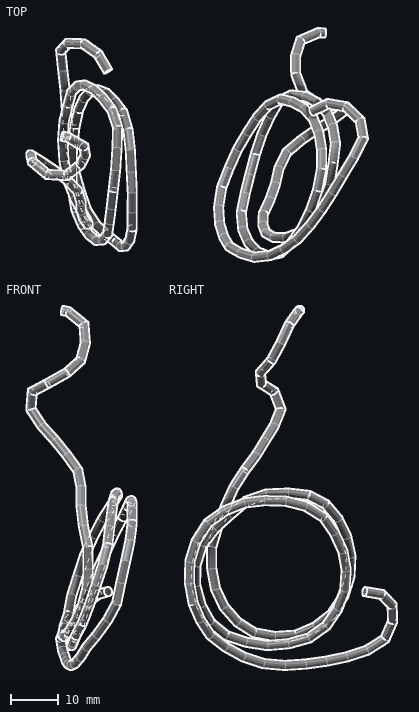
import cadquery as cq

WIRE_DIAMETER = 2.0


LEAD_JOINTS = [
    (-5.9, 4.5, 54.2),
    (-4.6, 4.2, 53.9),
    (-1.3, 2.3, 51.2),
    (-1.0, 0.5, 47.3),
    (-2.0, -1.5, 43.6),
    (-4.9, -3.8, 41.0),
    (-9.0, -3.6, 38.7),
    (-12.2, -0.9, 37.0),
    (-12.5, 0.5, 33.3),
    (-10.2, -0.9, 29.8),
    (-7.4, -2.8, 26.7),
    (-4.9, -4.7, 23.6),
    (-2.6, -7.1, 20.4),
    (-1.9, -9.4, 16.8),
    (-1.9, -11.2, 12.8),
    (-1.4, -12.8, 8.6),
]

FIRST_TURN_JOINTS = [
    (-0.5, -14.1, 4.2),
    (-0.4, -14.1, -0.3),
    (-0.7, -13.3, -4.6),
    (-1.7, -11.5, -8.4),
    (-3.2, -8.6, -11.7),
    (-4.6, -5.1, -13.9),
    (-5.5, -0.8, -14.7),
    (-5.8, 3.7, -14.4),
    (-5.5, 7.7, -12.7),
    (-4.6, 11.2, -10.0),
    (-3.9, 13.8, -6.1),
    (-2.6, 15.1, -2.0),
    (-1.2, 15.3, 2.3),
    (0.7, 14.4, 6.4),
    (2.6, 12.6, 10.1),
    (4.6, 10.0, 13.2),
    (5.8, 6.4, 15.1),
    (5.7, 2.1, 15.6),
    (5.4, -2.5, 15.4),
    (4.9, -6.8, 13.9),
    (4.5, -10.3, 10.9),
    (4.1, -13.4, 8.1),
]

SECOND_TURN_JOINTS = [
    (3.7, -16.1, 4.6),
    (2.7, -17.4, 0.4),
    (1.3, -17.5, -3.8),
    (-0.2, -16.3, -8.2),
    (-1.6, -14.3, -11.8),
    (-3.0, -11.0, -14.5),
    (-3.7, -6.8, -15.9),
    (-3.9, -2.3, -16.6),
    (-3.7, 2.2, -16.2),
    (-3.2, 6.5, -15.0),
    (-2.4, 10.1, -12.4),
    (-1.3, 12.5, -8.9),
    (0.1, 14.0, -4.9),
    (1.6, 14.3, -0.6),
    (3.4, 13.6, 3.3),
    (5.2, 11.8, 7.2),
    (6.9, 9.6, 10.4),
    (8.0, 5.8, 12.8),
    (8.5, 1.5, 13.9),
    (8.7, -3.0, 14.0),
    (8.9, -7.2, 13.5),
    (8.9, -11.2, 11.9),
    (8.9, -14.9, 9.3),
]

TAIL_JOINTS = [
    (8.4, -17.4, 5.4),
    (7.5, -18.7, 1.2),
    (6.5, -18.8, -3.3),
    (5.6, -18.0, -7.7),
    (3.7, -16.5, -11.2),
    (1.4, -14.4, -14.4),
    (-0.7, -11.2, -16.9),
    (-2.0, -7.4, -19.0),
    (-3.2, -3.2, -20.4),
    (-4.0, 1.3, -20.8),
    (-4.6, 5.7, -20.5),
    (-5.0, 10.1, -19.9),
    (-5.3, 14.4, -19.0),
    (-5.8, 18.7, -17.6),
    (-6.2, 22.5, -15.2),
    (-4.7, 24.1, -11.5),
    (-1.4, 24.0, -8.1),
    (1.7, 21.8, -5.8),
    (3.8, 18.2, -5.2),
]


def bent_wire(joints, diameter):
    """Round wire along straight pieces between the joints, mitred where they meet."""
    start = cq.Vector(*joints[0])
    first_piece = cq.Vector(*joints[1]) - start
    centre_line = cq.Workplane("XY").polyline(joints)
    end_plane = cq.Plane(origin=start, normal=first_piece)
    return cq.Workplane(end_plane).circle(diameter / 2).sweep(centre_line, transition="right")


wire_joints = LEAD_JOINTS + FIRST_TURN_JOINTS + SECOND_TURN_JOINTS + TAIL_JOINTS
result = bent_wire(wire_joints, WIRE_DIAMETER)